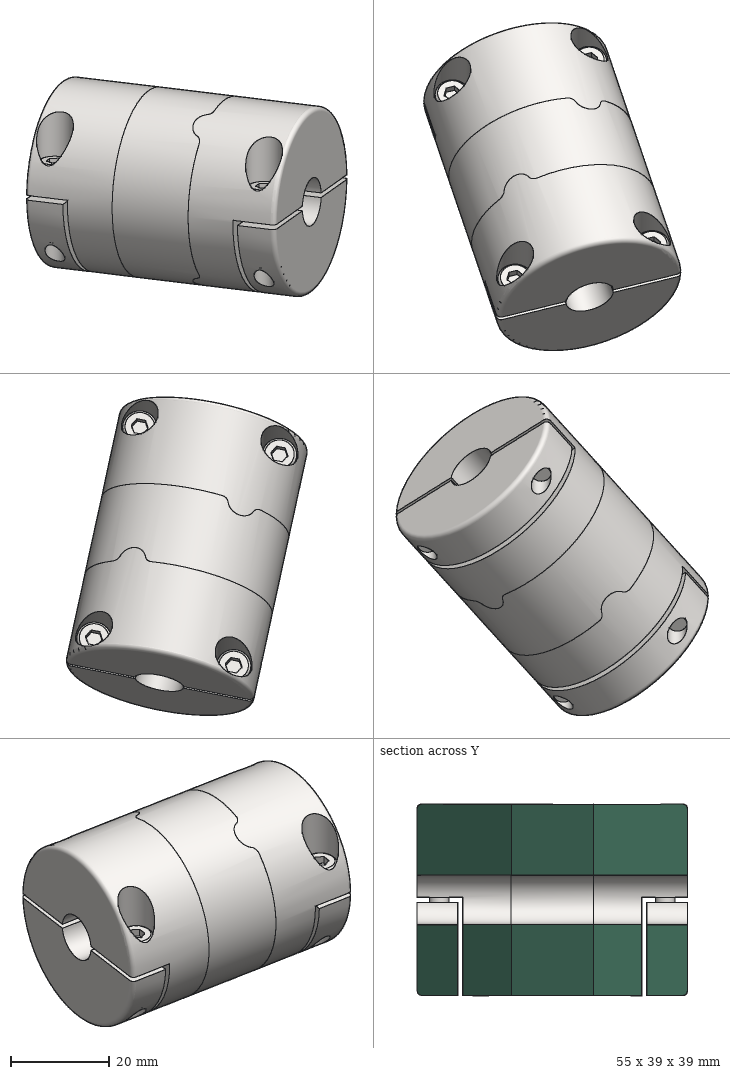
import cadquery as cq
import math

length = 55.0
outer_diameter = 39.0
bore_diameter = 10.0
edge_round = 1.0

outer_radius = outer_diameter / 2

sleeve_length = 16.7
hub_length = (length - sleeve_length) / 2
ridge_offset = 9.7
ridge_crest_radius = 2.8
ridge_root_radius = 1.5

slit_width = 1.0
jaw_length = 8.3

screw_inset = 4.5
screw_spacing = 29.0
shank_diameter = 4.0
shank_tip_z = -9.9
head_diameter = 7.0
head_height = 4.0
head_seat_z = 2.95
head_chamfer = 0.5
head_top_z = head_seat_z + head_height
counterbore_diameter = 7.5
socket_width = 3.0
socket_depth = 1.6


def vertical_cylinder(x, y, diameter, bottom, top):
    return cq.Workplane(origin=(x, y, bottom)).circle(diameter / 2).extrude(top - bottom)


def slab(x_start, x_end, z_start, z_end):
    """Block as wide as the coupling in Y."""
    size = (x_end - x_start, outer_diameter, z_end - z_start)
    return cq.Workplane(origin=(x_start, 0, z_start)).box(*size, centered=(False, True, False))


def barrel(x_start, x_end):
    return cq.Workplane("YZ", origin=(x_start, 0, 0)).circle(outer_radius).extrude(x_end - x_start)


def cut_bore(body):
    return body.cut(cq.Workplane("YZ").circle(bore_diameter / 2).extrude(length))


def key_ridge():
    """Ridge on the left hub's inner face: a crest centred on that face, with a fillet at each root."""
    crest = ridge_crest_radius
    root = ridge_root_radius
    half_width = math.sqrt((crest + root) ** 2 - root**2)
    blend_x = root * crest / (crest + root)
    blend_y = half_width * crest / (crest + root)
    half_sweep = math.atan2(half_width, root) / 2
    root_mid_x = root - root * math.cos(half_sweep)
    root_mid_y = half_width - root * math.sin(half_sweep)
    return (
        cq.Workplane(origin=(hub_length, ridge_offset, -outer_radius))
        .moveTo(0, -half_width)
        .threePointArc((root_mid_x, -root_mid_y), (blend_x, -blend_y))
        .threePointArc((crest, 0), (blend_x, blend_y))
        .threePointArc((root_mid_x, root_mid_y), (0, half_width))
        .close()
        .extrude(outer_diameter)
    )


def turn_end_for_end(body):
    """Half turn about the vertical line through the middle of the coupling."""
    return body.rotate((length / 2, 0, 0), (length / 2, 0, 1), 180)


def clamp_screw(y):
    head = vertical_cylinder(screw_inset, y, head_diameter, head_seat_z, head_top_z)
    head = head.faces(">Z").chamfer(head_chamfer)
    shank = vertical_cylinder(screw_inset, y, shank_diameter, shank_tip_z, head_seat_z)
    socket = (
        cq.Workplane(origin=(screw_inset, y, head_top_z))
        .polygon(6, socket_width, circumscribed=True)
        .extrude(-socket_depth)
    )
    return head.cut(socket).union(shank)


def make_hub():
    """Left hub: ridged barrel whose clamp jaw is held on by its fixed screws."""
    body = barrel(0, hub_length).faces("<X").edges().fillet(edge_round)
    body = body.union(key_ridge().intersect(barrel(0, length)))
    body = cut_bore(body)

    jaw_slit_end = jaw_length + slit_width
    body = body.cut(slab(0, jaw_slit_end, -slit_width / 2, slit_width / 2))
    body = body.cut(slab(jaw_length, jaw_slit_end, -outer_radius, slit_width / 2))

    for y in (-screw_spacing / 2, screw_spacing / 2):
        body = body.cut(vertical_cylinder(screw_inset, y, counterbore_diameter, head_seat_z, outer_radius))
        body = body.cut(vertical_cylinder(screw_inset, y, shank_diameter, -outer_radius, shank_tip_z))
        body = body.union(clamp_screw(y))
    return body


def make_sleeve():
    body = cut_bore(barrel(hub_length, length - hub_length))
    groove = key_ridge()
    return body.cut(groove).cut(turn_end_for_end(groove))


left_hub = make_hub()
right_hub = turn_end_for_end(left_hub)
sleeve = make_sleeve()

result = cq.Compound.makeCompound([left_hub.val(), sleeve.val(), right_hub.val()])